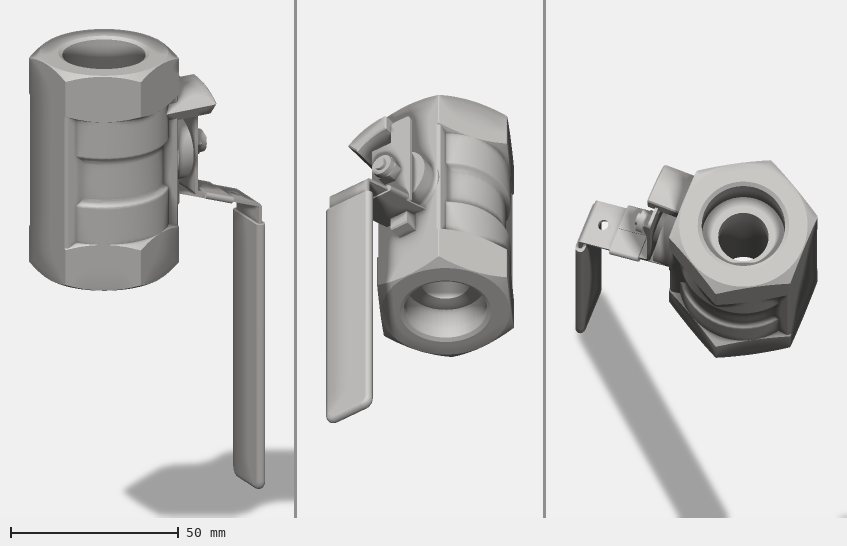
import cadquery as cq
import math

width_across_flats = 39.0
half_flats = width_across_flats / 2
hex_corner_round = 0.5
end_face_radius = 19.2
body_half_height = 34.44
collar_inner_z = 19.6
corner_bevel_angle = 30
plate_half_width = 11.4
plate_bevel = 0.9
port_dia = 25.0
port_depth = 12.0
port_mouth_dia = 27.3
port_bevel_depth = 0.7
bore_dia = 15.0
cut_radius = width_across_flats

waist_radius = 18.07
waist_fillet = 2.2
waist_rim_round = 1.0
waist_floor_half = 5.6
waist_corner_fillet = 1.9

bonnet_dia = 20.0
bonnet_top_y = 25.1
bonnet_foot_fillet = 1.0
bonnet_foot_depth = 0.7
washer_dia = 10.0
stem_dia = 4.0
stem_flats = 3.1
stem_tip_y = 34.2
nut_flats = 7.0
nut_turn = 6
nut_hex_height = 3.1
nut_collar_height = 1.9

stop_bevel = 0.5
post_inner_radius = 16.5
post_outer_radius = 21.8
post_sweep = 40
post_top_y = 31.0
post_root_y = 13.3
lug_half_width = 3.0
lug_top_y = 24.2
lug_bottom_z = -17.8
lug_top_z = -8.8
lug_root_y = 17.7

strip_thickness = 1.0
strip_width = 13.9
lever_y = 27.7
lever_top_z = 20.0
tab_corner = 1.5
shoulder_z = 12.5
slope_start_z = -13.7
slope_angle = 20
bend_inner_radius = 0.7
eyelet_dia = 3.2
eyelet_y = 44.8

grip_width = 16.4
grip_thickness = 3.0
grip_outer_y = 51.2
grip_top_z = -27.6
grip_bottom_z = body_half_height - 147.5
grip_corner = 3.0

slide_width = 16.2
slide_wall = 0.5
slide_seam = 0.07
slide_start = 3.1
slide_end = 12.8
tongue_end = -7.4

half_strip = strip_thickness / 2
grip_y = grip_outer_y - grip_thickness / 2
slope = math.radians(slope_angle)


def corner_span(across_flats):
    """Distance across the corners of a hexagon."""
    return across_flats / math.cos(math.radians(30))


def hexagonal_bar():
    """Hexagonal bar with both ends beveled by a cone."""
    bar = (cq.Workplane("XY").polygon(6, corner_span(width_across_flats))
           .extrude(body_half_height, both=True)
           .edges("|Z").fillet(hex_corner_round))
    rise = (cut_radius - end_face_radius) * math.tan(math.radians(corner_bevel_angle))
    profile = [
        (0, -body_half_height),
        (end_face_radius, -body_half_height),
        (cut_radius, -body_half_height + rise),
        (cut_radius, body_half_height - rise),
        (end_face_radius, body_half_height),
        (0, body_half_height),
    ]
    envelope = cq.Workplane("XZ").polyline(profile).close().revolve(360, (0, 0), (0, 1))
    return bar.intersect(envelope)


def kept_plates():
    """Front and back plates, left standing by the cuts around the middle."""
    return (cq.Workplane("XY").rect(2 * plate_half_width, 2 * half_flats)
            .extrude(body_half_height, both=True)
            .edges("|Z").chamfer(plate_bevel))


def middle_cut():
    """Ring that turns the middle down to the distance across flats, between cone faces."""
    rise = (cut_radius - half_flats) * math.tan(math.radians(corner_bevel_angle))
    profile = [
        (half_flats, -collar_inner_z),
        (cut_radius, -collar_inner_z - rise),
        (cut_radius, collar_inner_z + rise),
        (half_flats, collar_inner_z),
    ]
    ring = cq.Workplane("XZ").polyline(profile).close().revolve(360, (0, 0), (0, 1))
    return ring.cut(kept_plates())


def waist_sides():
    """Space beside the plates outside the waist, with its upright inner corners rounded."""
    space = (cq.Workplane("XY").circle(cut_radius).circle(waist_radius)
             .extrude(collar_inner_z, both=True).cut(kept_plates()))
    inner_corners = [edge for edge in space.edges("|Z").vals()
                     if math.hypot(edge.Center().x, edge.Center().y) < half_flats - waist_rim_round]
    return space.newObject(inner_corners).fillet(waist_corner_fillet)


def waist_cut():
    """Groove ring whose walls run in an S curve from the waist to the rounded rims."""
    radii = waist_fillet + waist_rim_round
    across = radii - (half_flats - waist_radius)
    along = math.sqrt(radii**2 - across**2)
    tilt = math.atan2(along, across)
    meet_r = waist_radius + waist_fillet * (1 - math.cos(tilt))
    meet_z = waist_floor_half + waist_fillet * math.sin(tilt)
    mid_r = waist_radius + waist_fillet * (1 - math.cos(tilt / 2))
    mid_z = waist_floor_half + waist_fillet * math.sin(tilt / 2)
    rim_r = half_flats - waist_rim_round * (1 - math.cos(tilt / 2))
    rim_z = waist_floor_half + along - waist_rim_round * math.sin(tilt / 2)
    edge_z = waist_floor_half + along
    ring = (cq.Workplane("XZ")
            .moveTo(waist_radius, -waist_floor_half).lineTo(waist_radius, waist_floor_half)
            .threePointArc((mid_r, mid_z), (meet_r, meet_z))
            .threePointArc((rim_r, rim_z), (half_flats, edge_z))
            .lineTo(cut_radius, edge_z).lineTo(cut_radius, -edge_z).lineTo(half_flats, -edge_z)
            .threePointArc((rim_r, -rim_z), (meet_r, -meet_z))
            .threePointArc((mid_r, -mid_z), (waist_radius, -waist_floor_half)).close()
            .revolve(360, (0, 0), (0, 1)))
    return ring.intersect(waist_sides())


def passage():
    """Through bore with a beveled port at each end."""
    outline = [
        (0, 0),
        (bore_dia / 2, 0),
        (bore_dia / 2, body_half_height - port_depth),
        (port_dia / 2, body_half_height - port_depth),
        (port_dia / 2, body_half_height - port_bevel_depth),
        (port_mouth_dia / 2, body_half_height),
        (0, body_half_height),
    ]
    upper = cq.Workplane("XZ").polyline(outline).close().revolve(360, (0, 0), (0, 1))
    return upper.union(upper.mirror("XY"))


def along_y(start_y):
    """Workplane square to Y at start_y, with extrusions running toward +Y."""
    return cq.Workplane(cq.Plane((0, start_y, 0), (-1, 0, 0), (0, 1, 0)))


def bonnet():
    """Round boss with a flared foot that stands on the back plate."""
    radius = bonnet_dia / 2
    foot = radius + bonnet_foot_fillet
    bend = bonnet_foot_fillet * (1 - math.sqrt(0.5))
    return (cq.Workplane("XY").moveTo(0, half_flats - bonnet_foot_depth)
            .lineTo(foot, half_flats - bonnet_foot_depth).lineTo(foot, half_flats)
            .threePointArc((radius + bend, half_flats + bend), (radius, half_flats + bonnet_foot_fillet))
            .lineTo(radius, bonnet_top_y).lineTo(0, bonnet_top_y).close()
            .revolve(360, (0, 0), (0, 1)))


def stem():
    """Round stem with two flats facing X, from the bonnet to its tip."""
    length = stem_tip_y - bonnet_top_y
    flats = along_y(bonnet_top_y).rect(stem_flats, stem_dia).extrude(length)
    return along_y(bonnet_top_y).circle(stem_dia / 2).extrude(length).intersect(flats)


def stem_set():
    """Washer below the lever, stem through it, and collared nut above it."""
    washer_height = lever_y - half_strip - bonnet_top_y
    nut_y = lever_y + half_strip
    nut = (along_y(nut_y).polygon(6, corner_span(nut_flats))
           .extrude(nut_hex_height).rotate((0, 0, 0), (0, 1, 0), -nut_turn))
    nut_collar = along_y(nut_y + nut_hex_height).circle(nut_flats / 2).extrude(nut_collar_height)
    washer = along_y(bonnet_top_y).circle(washer_dia / 2).extrude(washer_height)
    return stem().union(washer).union(nut).union(nut_collar)


def arc_post():
    """Curved stop post: a ring sector about the stem axis, starting at X = 0."""
    def on_arc(radius, angle):
        return (radius * math.sin(math.radians(angle)), radius * math.cos(math.radians(angle)))

    half_sweep = post_sweep / 2
    return (cq.Workplane("XZ", origin=(0, post_top_y, 0))
            .moveTo(0, post_inner_radius).lineTo(0, post_outer_radius)
            .threePointArc(on_arc(post_outer_radius, half_sweep), on_arc(post_outer_radius, post_sweep))
            .lineTo(*on_arc(post_inner_radius, post_sweep))
            .threePointArc(on_arc(post_inner_radius, half_sweep), (0, post_inner_radius)).close()
            .extrude(post_top_y - post_root_y)
            .faces("<X").edges(">Z").chamfer(stop_bevel)
            .faces(">Y").chamfer(stop_bevel))


def lock_lug():
    """Rectangular lug below the bonnet that the slide's tongue straddles."""
    return (cq.Workplane("XY")
            .box(2 * lug_half_width, lug_top_y - lug_root_y, lug_top_z - lug_bottom_z, centered=False)
            .translate((-lug_half_width, lug_root_y, lug_bottom_z))
            .faces(">Y").edges("|X").chamfer(stop_bevel))


def make_housing():
    """Valve body in one piece with its bonnet, stops, stem and nut."""
    shell = hexagonal_bar().cut(middle_cut()).cut(waist_cut())
    shell = shell.union(bonnet()).union(arc_post()).union(lock_lug()).union(stem_set())
    return shell.cut(passage())


def slope_z(y):
    """Height of the sloping stretch's middle line at y."""
    return slope_start_z - (y - lever_y) * math.tan(slope)


def lever_blank():
    """Bent strip without its holes, ending inside the grip."""
    rise = half_strip / math.cos(slope)
    near, far = lever_y - half_strip, lever_y + half_strip
    grip_near, grip_far = grip_y - half_strip, grip_y + half_strip
    end_z = grip_bottom_z + grip_corner
    outline = [
        (far, lever_top_z),
        (far, slope_z(far) + rise),
        (grip_far, slope_z(grip_far) + rise),
        (grip_far, end_z),
        (grip_near, end_z),
        (grip_near, slope_z(grip_near) - rise),
        (near, slope_z(near) - rise),
        (near, lever_top_z),
    ]
    strip = cq.Workplane("YZ").polyline(outline).close().extrude(strip_width / 2, both=True)

    def at_a_corner(edge, corners):
        middle = edge.Center()
        return any(math.dist((middle.y, middle.z), corner) < half_strip for corner in corners)

    def bend_edges(corners):
        return [edge for edge in strip.edges("|X").vals() if at_a_corner(edge, corners)]

    bend_outer_radius = bend_inner_radius + strip_thickness
    inner = bend_edges([outline[1], outline[5]])
    outer = bend_edges([outline[2], outline[6]])
    strip = strip.newObject(inner).fillet(bend_inner_radius)
    strip = strip.newObject(outer).fillet(bend_outer_radius)
    clearance = (cq.Workplane("XY").box(strip_width, lever_y, lever_top_z, centered=False)
                 .translate((0, half_flats, shoulder_z)))
    return strip.cut(clearance).faces(">Z").edges("|Y").fillet(tab_corner)


def on_slope(distance):
    """Workplane square to the sloping stretch, at a distance along it from the stem plane."""
    direction = (0, math.cos(slope), -math.sin(slope))
    origin = (0, lever_y + distance * direction[1], slope_start_z + distance * direction[2])
    return cq.Workplane(cq.Plane(origin, (-1, 0, 0), direction))


def make_lever():
    """Bent strip with an eyelet in its sloping stretch and a flatted hole for the stem."""
    square_to_slope = (0, math.sin(slope), math.cos(slope))
    eyelet_plane = cq.Plane((0, eyelet_y, slope_z(eyelet_y)), (1, 0, 0), square_to_slope)
    eyelet_cut = cq.Workplane(eyelet_plane).circle(eyelet_dia / 2).extrude(strip_thickness, both=True)
    return lever_blank().cut(eyelet_cut).cut(stem())


def make_grip():
    """Flat grip with a fully round edge down both sides and across the bottom."""
    radius = grip_thickness / 2
    side = grip_width / 2 - radius
    low = grip_bottom_z + radius
    bend = grip_corner - radius
    height = grip_top_z - low
    core = (cq.Workplane("XY").box(2 * side, grip_thickness, height)
            .translate((0, grip_y, low + height / 2))
            .faces("<Z").edges("|Y").fillet(bend))
    path = (cq.Workplane("XZ", origin=(0, grip_y, 0)).moveTo(-side, grip_top_z).lineTo(-side, low + bend)
            .radiusArc((-side + bend, low), -bend).lineTo(side - bend, low)
            .radiusArc((side, low + bend), -bend).lineTo(side, grip_top_z))
    round_edge = (cq.Workplane("XY", origin=(-side, grip_y, grip_top_z)).moveTo(0, radius)
                  .threePointArc((-radius, 0), (0, -radius)).close().sweep(path))
    return core.union(round_edge).cut(lever_blank())


def make_slide():
    """Folded sleeve around the strip, with a tongue notched for the lock lug."""
    thickness = strip_thickness + 2 * slide_wall
    sleeve = (on_slope(slide_start).slot2D(slide_width, thickness)
              .rect(strip_width, strip_thickness).extrude(slide_end - slide_start))
    tongue = (on_slope(tongue_end).center(0, -half_strip - slide_wall / 2)
              .rect(strip_width, slide_wall).extrude(slide_end - tongue_end))
    seam = (on_slope(slide_start).center(0, half_strip + slide_wall / 2)
            .rect(slide_seam, slide_wall).extrude(slide_end - slide_start))
    return sleeve.cut(seam).union(tongue).cut(lock_lug())


housing = make_housing()
lever = make_lever()
grip = make_grip()
slide = make_slide()

result = cq.Compound.makeCompound([housing.val(), lever.val(), grip.val(), slide.val()])